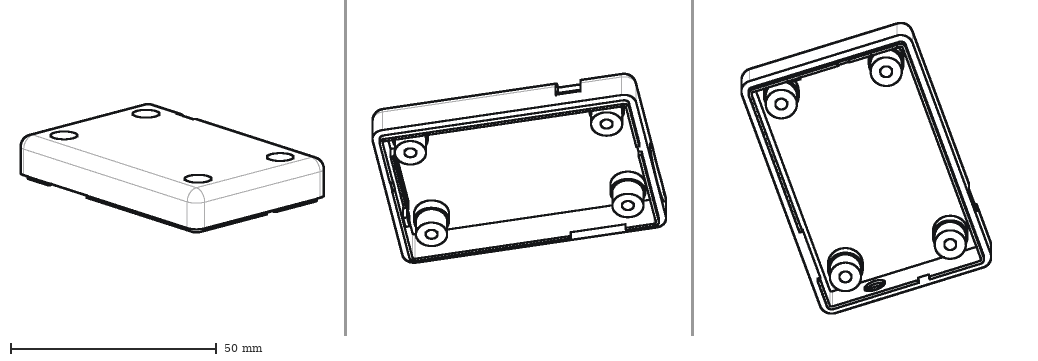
import cadquery as cq

LENGTH = 65.25
WIDTH = 43.75
HEIGHT = 11.0
EDGE_RADIUS = 3.0

WALL = 2.5
ROOF = 2.0
LIP_HEIGHT = 1.35
LIP_INSET = 1.75

FRONT_GAP_X = (-22.5, -8.9)
SIDE_GAP_Y = (3.05, 5.85)
FAR_GAP_HEIGHT = 0.45

SCREW_PITCH_X = 48.6
SCREW_PITCH_Y = 26.9
SCREW_CENTER_X = 0.05
SCREW_CENTER_Y = -0.1
SCREW_DIAMETER = 2.9
HEAD_DIAMETER = 6.5
HEAD_DEPTH = 2.5
BOSS_DIAMETER = 8.5
BOSS_STEP_Z = 6.3
POST_DIAMETER = 7.6

PLUG_DIAMETER = 5.25
PLUG_Y = -8.0
PLUG_Z = 4.75
OVAL_LENGTH = 18.2
OVAL_HEIGHT = 7.6
OVAL_Z = 5.6
FLARE_DEPTH = 1.75

SLOT_X = (-19.4, -13.3)
SLOT_FLOOR = 5.0

BLOCK_Y = (-10.0, -7.05)
BLOCK_TOP = 4.95
BLOCK_THICKNESS = 1.0

LEDGE_LENGTH = 17.8
LEDGE_BOTTOM = 6.1
LEDGE_THICKNESS = 1.0
LEDGE_CHAMFER = 0.4


def box_between(x_range, y_range, z_range):
    """Axis-aligned box spanning the given ranges."""
    sizes = [high - low for low, high in (x_range, y_range, z_range)]
    corner = cq.Vector(x_range[0], y_range[0], z_range[0])
    return cq.Workplane("XY").box(*sizes, centered=False).translate(corner)


def inset_block(inset, bottom, top):
    """Block following the outline at a given inset, with concentric corners."""
    block = (
        cq.Workplane("XY")
        .workplane(offset=bottom)
        .rect(LENGTH - 2 * inset, WIDTH - 2 * inset)
        .extrude(top - bottom)
    )
    return block.edges("|Z").fillet(EDGE_RADIUS - inset)


def make_shell():
    """Rounded cover, hollow from below, with the lip around its opening."""
    body = inset_block(0, LIP_HEIGHT, HEIGHT).faces(">Z").edges().fillet(EDGE_RADIUS)
    lip = inset_block(LIP_INSET, 0, HEIGHT - ROOF)
    cavity = inset_block(WALL, 0, HEIGHT - ROOF)
    return body.union(lip).cut(cavity)


def screw_cylinders(diameter, bottom, top):
    """Four upright cylinders, one at each screw position."""
    return (
        cq.Workplane("XY")
        .workplane(offset=bottom)
        .center(SCREW_CENTER_X, SCREW_CENTER_Y)
        .rect(SCREW_PITCH_X, SCREW_PITCH_Y, forConstruction=True)
        .vertices()
        .circle(diameter / 2)
        .extrude(top - bottom)
    )


def add_screw_holes(part):
    """Bosses, head recesses and through holes for the four screws."""
    roof_middle = HEIGHT - ROOF / 2
    part = part.union(screw_cylinders(BOSS_DIAMETER, BOSS_STEP_Z, roof_middle))
    part = part.union(screw_cylinders(POST_DIAMETER, LIP_HEIGHT, roof_middle))
    part = part.cut(screw_cylinders(HEAD_DIAMETER, HEIGHT - HEAD_DEPTH, HEIGHT))
    return part.cut(screw_cylinders(SCREW_DIAMETER, 0, HEIGHT))


def cut_lip_gaps(part):
    """Full-height gaps in the -Y and -X lips and a shallow one in the +X lip."""
    front = box_between(FRONT_GAP_X, (-WIDTH / 2, WALL - WIDTH / 2), (0, LIP_HEIGHT))
    near = box_between((-LENGTH / 2, WALL - LENGTH / 2), SIDE_GAP_Y, (0, LIP_HEIGHT))
    far = box_between((LENGTH / 2 - WALL, LENGTH / 2), SIDE_GAP_Y, (0, FAR_GAP_HEIGHT))
    return part.cut(front).cut(near).cut(far)


def cut_plug_opening(part):
    """Round hole through the -X wall with its oval flare."""
    outside = cq.Workplane("YZ", origin=(-LENGTH / 2, 0, 0))
    hole = outside.center(PLUG_Y, PLUG_Z).circle(PLUG_DIAMETER / 2).extrude(WALL)
    flare = (
        outside.center(PLUG_Y, OVAL_Z)
        .ellipse(OVAL_LENGTH / 2, OVAL_HEIGHT / 2)
        .workplane(offset=FLARE_DEPTH)
        .center(0, PLUG_Z - OVAL_Z)
        .circle(PLUG_DIAMETER / 2)
        .loft()
    )
    return part.cut(hole).cut(flare)


def cut_edge_slot(part):
    """Slot in the +Y wall, open upwards as deep as the rounded edge."""
    slot = box_between(SLOT_X, (WIDTH / 2 - EDGE_RADIUS, WIDTH / 2), (SLOT_FLOOR, HEIGHT))
    return part.cut(slot)


def add_wall_block(part):
    """Small block standing on the inside of the +X wall."""
    inner_face = LENGTH / 2 - WALL
    block = box_between(
        (inner_face - BLOCK_THICKNESS, inner_face), BLOCK_Y, (LIP_HEIGHT, BLOCK_TOP)
    )
    return part.union(block)


def add_wall_ledge(part):
    """Ledge along the inside of the +X wall, just below the roof."""
    inner_face = LENGTH / 2 - WALL
    ledge = box_between(
        (inner_face - LEDGE_THICKNESS, inner_face),
        (-LEDGE_LENGTH / 2, LEDGE_LENGTH / 2),
        (LEDGE_BOTTOM, HEIGHT - ROOF),
    )
    return part.union(ledge.faces("<X").edges("<Z").chamfer(LEDGE_CHAMFER))


result = make_shell()
result = add_screw_holes(result)
result = cut_lip_gaps(result)
result = cut_plug_opening(result)
result = cut_edge_slot(result)
result = add_wall_block(result)
result = add_wall_ledge(result)